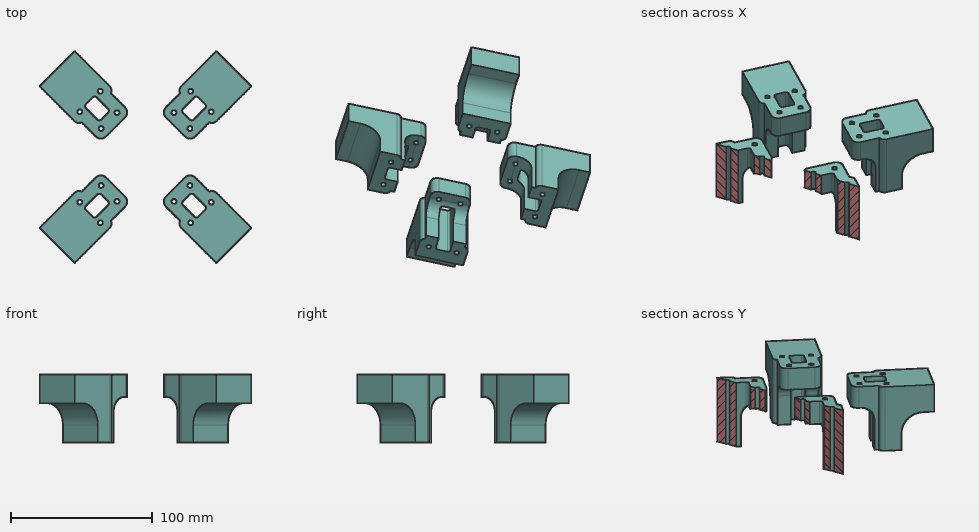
import cadquery as cq
import math


SQUARE_SIDE = 149.6
HEIGHT = 48.0
BRACKET_COUNT = 4

WIDE_WIDTH = 35.0
TONGUE_WIDTH = 29.2
INNER_END = 30.0
OUTER_END = SQUARE_SIDE / math.sqrt(2) - WIDE_WIDTH / 2
SHOULDER = 49.0
SHOULDER_RADIUS = 4.0
TONGUE_RADIUS = 5.0

LEG_INNER = 46.2
LEG_OUTER = 65.1
TONGUE_THICKNESS = 16.0
SHELF_THICKNESS = 20.4
TONGUE_ARCH_RADIUS = 10.0
SHELF_ARCH_RADIUS = 15.0

SLOT_INNER = 40.9
SLOT_LENGTH = 15.3
SLOT_WIDTH = 10.6
SLOT_CORNER_RADIUS = 2.0

HOLE_DIAMETER = 3.3
INNER_HOLE_POSITION = 36.4
INNER_HOLE_SPACING = 15.9
OUTER_HOLE_POSITION = 55.4
OUTER_HOLE_SPACING = 20.5


def upright_block(start, end, width, corner_radius, corners):
    """Full-height block between two radial positions, with chosen upright edges rounded."""
    block = cq.Workplane("XY").box(end - start, width, HEIGHT, centered=(False, True, False))
    return block.translate((start, 0, -HEIGHT)).edges(corners).fillet(corner_radius)


def plan_blank():
    """Wide block with a narrower tongue on its inner end."""
    wide = upright_block(SHOULDER, OUTER_END, WIDE_WIDTH, SHOULDER_RADIUS, "|Z and <X")
    tongue = upright_block(INNER_END, OUTER_END, TONGUE_WIDTH, TONGUE_RADIUS, "|Z and <X")
    return wide.union(tongue)


def arch_cut(leg_face, free_end, thickness, radius):
    """Space beneath an overhang, with a round corner where the overhang meets the leg."""
    low, high = sorted((leg_face, free_end))
    corner = ">X" if leg_face > free_end else "<X"
    space = cq.Workplane("XY").box(
        high - low, WIDE_WIDTH, HEIGHT - thickness, centered=(False, True, False)
    )
    return space.translate((low, 0, -HEIGHT)).edges("|Y and >Z and " + corner).fillet(radius)


def slot_cut():
    """Rounded rectangular slot through the full height; it opens the inner face of the leg."""
    return upright_block(SLOT_INNER, SLOT_INNER + SLOT_LENGTH, SLOT_WIDTH, SLOT_CORNER_RADIUS, "|Z")


def hole_cuts():
    """Two pairs of screw holes, one at each end of the slot."""
    centres = []
    for position, spacing in (
        (INNER_HOLE_POSITION, INNER_HOLE_SPACING),
        (OUTER_HOLE_POSITION, OUTER_HOLE_SPACING),
    ):
        centres += [(position, -spacing / 2), (position, spacing / 2)]
    return cq.Workplane("XY").pushPoints(centres).circle(HOLE_DIAMETER / 2).extrude(-HEIGHT)


def make_bracket():
    return (
        plan_blank()
        .cut(arch_cut(LEG_INNER, INNER_END, TONGUE_THICKNESS, TONGUE_ARCH_RADIUS))
        .cut(arch_cut(LEG_OUTER, OUTER_END, SHELF_THICKNESS, SHELF_ARCH_RADIUS))
        .cut(slot_cut())
        .cut(hole_cuts())
    )


def place_on_diagonal(bracket, index):
    """Turn a bracket about the vertical axis onto one diagonal of the square."""
    step = 360 / BRACKET_COUNT
    return bracket.rotate((0, 0, 0), (0, 0, 1), step * (index + 0.5))


brackets = [place_on_diagonal(make_bracket(), index).val() for index in range(BRACKET_COUNT)]

result = cq.Compound.makeCompound(brackets)